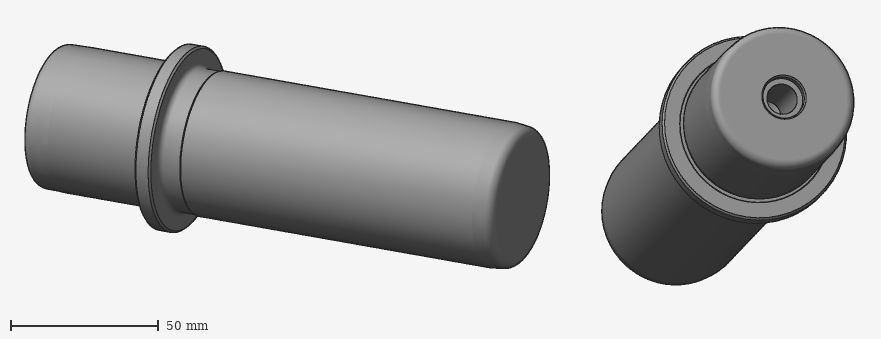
import cadquery as cq
import math

LENGTH = 175.0
BODY_RADIUS = 25.0

HEAD_CORNER_LENGTH = 2.8
HEAD_TAPER_END = 9.6
HEAD_TAPER_RADIUS = 24.8
HEAD_FACE_RADIUS = 22.0

FLANGE_START = 45.0
FLANGE_WIDTH = 6.0
FLANGE_RADIUS = 32.0
FLANGE_CHAMFER = 0.7

RELIEF_START = 44.0
RELIEF_FACE_DEPTH = 0.2
RELIEF_DEPTH = 0.4
RELIEF_OUTER_RADIUS = 26.0

NECK_RADIUS = 24.7
NECK_FILLET = 2.0
NECK_END = 58.6
SHANK_START = 59.2

TAIL_TAPER_START = 167.6
TAIL_CORNER_LENGTH = 3.2
TAIL_TAPER_RADIUS = 24.5

COUNTERBORE_RADIUS = 7.2
COUNTERBORE_DEPTH = 3.0
COUNTERBORE_CHAMFER = 0.5
DRILL_RADIUS = 5.2
DRILL_DEPTH = 28.0
DRILL_TIP_ANGLE = 118.0

flange_end = FLANGE_START + FLANGE_WIDTH
relief_floor_x = FLANGE_START + RELIEF_FACE_DEPTH
tail_corner_start = LENGTH - TAIL_CORNER_LENGTH
tail_face_radius = TAIL_TAPER_RADIUS - TAIL_CORNER_LENGTH
diagonal = math.sqrt(0.5)


def revolve_about_x(profile):
    return profile.close().revolve(360, (0, 0, 0), (1, 0, 0))


def make_pin():
    """Head, flange, neck and shank as one turned profile of (x, radius) points."""
    head_rise = HEAD_TAPER_RADIUS - HEAD_FACE_RADIUS
    profile = (
        cq.Workplane("XY")
        .lineTo(0, HEAD_FACE_RADIUS)
        .threePointArc(
            (HEAD_CORNER_LENGTH * (1 - diagonal), HEAD_FACE_RADIUS + head_rise * diagonal),
            (HEAD_CORNER_LENGTH, HEAD_TAPER_RADIUS),
        )
        .lineTo(HEAD_TAPER_END, BODY_RADIUS)
        .lineTo(RELIEF_START, BODY_RADIUS)
        .lineTo(RELIEF_START + RELIEF_DEPTH, BODY_RADIUS - RELIEF_DEPTH)
        .lineTo(relief_floor_x, BODY_RADIUS - RELIEF_DEPTH)
        .lineTo(relief_floor_x, RELIEF_OUTER_RADIUS - RELIEF_FACE_DEPTH)
        .lineTo(FLANGE_START, RELIEF_OUTER_RADIUS)
        .lineTo(FLANGE_START, FLANGE_RADIUS - FLANGE_CHAMFER)
        .lineTo(FLANGE_START + FLANGE_CHAMFER, FLANGE_RADIUS)
        .lineTo(flange_end - FLANGE_CHAMFER, FLANGE_RADIUS)
        .lineTo(flange_end, FLANGE_RADIUS - FLANGE_CHAMFER)
        .lineTo(flange_end, NECK_RADIUS + NECK_FILLET)
        .threePointArc(
            (flange_end + NECK_FILLET * (1 - diagonal), NECK_RADIUS + NECK_FILLET * (1 - diagonal)),
            (flange_end + NECK_FILLET, NECK_RADIUS),
        )
        .lineTo(NECK_END, NECK_RADIUS)
        .lineTo(SHANK_START, BODY_RADIUS)
        .lineTo(TAIL_TAPER_START, BODY_RADIUS)
        .lineTo(tail_corner_start, TAIL_TAPER_RADIUS)
        .threePointArc(
            (
                tail_corner_start + TAIL_CORNER_LENGTH * diagonal,
                tail_face_radius + TAIL_CORNER_LENGTH * diagonal,
            ),
            (LENGTH, tail_face_radius),
        )
        .lineTo(LENGTH, 0)
    )
    return revolve_about_x(profile)


def make_centre_hole():
    """Chamfered counterbore and a blind drilled hole with a conical bottom."""
    tip_length = DRILL_RADIUS / math.tan(math.radians(DRILL_TIP_ANGLE / 2))
    profile = (
        cq.Workplane("XY")
        .lineTo(0, COUNTERBORE_RADIUS + COUNTERBORE_CHAMFER)
        .lineTo(COUNTERBORE_CHAMFER, COUNTERBORE_RADIUS)
        .lineTo(COUNTERBORE_DEPTH, COUNTERBORE_RADIUS)
        .lineTo(COUNTERBORE_DEPTH, DRILL_RADIUS)
        .lineTo(DRILL_DEPTH, DRILL_RADIUS)
        .lineTo(DRILL_DEPTH + tip_length, 0)
    )
    return revolve_about_x(profile)


result = make_pin().cut(make_centre_hole())